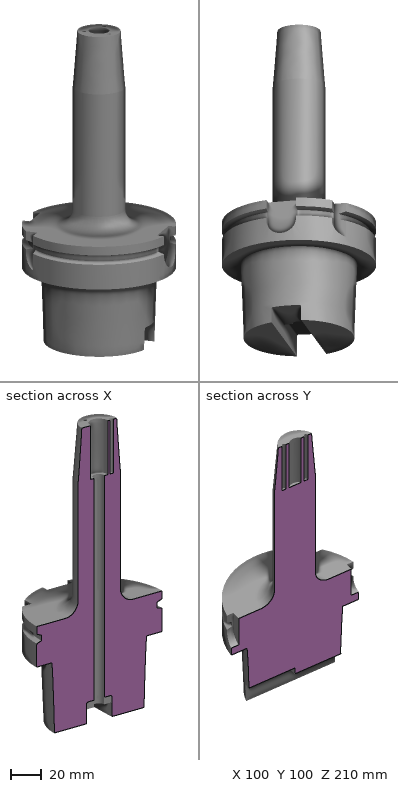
import cadquery as cq
import math

total_height = 210.0
shank_height = 50.0
flange_thickness = 29.0
tip_height = 38.0
flange_bottom = shank_height
flange_top = flange_bottom + flange_thickness

shank_bottom_radius = 36.0
shank_top_radius = 37.8
flange_radius = 50.0
neck_radius = 17.0
neck_fillet = 10.0
tip_radius = 14.0

groove_radius = 46.2
groove_bevel = 1.3
groove_start = 5.9
groove_end = 12.2

bore_radius = 6.7
bore_depth = tip_height
passage_radius = 4.1
coolant_hole_radius = 1.3
coolant_hole_depth = tip_height
coolant_circle_radius = 9.9
coolant_hole_count = 3

slot_depth = 23.7
slot_floor_x = 43.9
left_slot_half_width = 9.9
right_slot_half_width = 11.1
corner_slot_radius = 9.9
corner_slot_edge = 31.3

drive_half_width = 9.9
drive_depth = 10.0
deep_drive_depth = 15.1
drive_corner_radius = 1.0


def turned_body():
    """Revolve the shank, grooved flange, neck and tapered tip."""
    diagonal = neck_fillet * (1 - math.sqrt(0.5))
    return (
        cq.Workplane("XZ")
        .lineTo(shank_bottom_radius, 0)
        .lineTo(shank_top_radius, flange_bottom)
        .lineTo(flange_radius, flange_bottom)
        .lineTo(flange_radius, flange_top - groove_end)
        .lineTo(groove_radius, flange_top - groove_end + groove_bevel)
        .lineTo(groove_radius, flange_top - groove_start - groove_bevel)
        .lineTo(flange_radius, flange_top - groove_start)
        .lineTo(flange_radius, flange_top)
        .lineTo(neck_radius + neck_fillet, flange_top)
        .threePointArc(
            (neck_radius + diagonal, flange_top + diagonal),
            (neck_radius, flange_top + neck_fillet),
        )
        .lineTo(neck_radius, total_height - tip_height)
        .lineTo(tip_radius, total_height)
        .lineTo(0, total_height)
        .close()
        .revolve(360, (0, 0, 0), (0, 1, 0))
    )


def flange_slot(floor_x, center_y, radius):
    """Slot cutter running outward along X from floor_x, open at the flange top."""
    arc_center_z = flange_top - slot_depth + radius
    outward = math.copysign(flange_radius, floor_x)
    return (
        cq.Workplane("YZ", origin=(floor_x, center_y, 0))
        .moveTo(-radius, flange_top)
        .lineTo(-radius, arc_center_z)
        .threePointArc((0, arc_center_z - radius), (radius, arc_center_z))
        .lineTo(radius, flange_top)
        .close()
        .extrude(outward)
    )


def drive_slot(side, depth):
    """Drive slot cutter from the axis outward; side is -1 or 1 along X."""
    return (
        cq.Workplane("XY")
        .box(flange_radius, 2 * drive_half_width, depth, centered=(True, True, False))
        .edges("|X and >Z")
        .fillet(drive_corner_radius)
        .translate((side * flange_radius / 2, 0, 0))
    )


def tip_holes():
    """Tool bore, through passage and coolant holes."""
    passage = cq.Workplane("XY").circle(passage_radius).extrude(total_height)
    bore = (
        cq.Workplane("XY", origin=(0, 0, total_height))
        .circle(bore_radius)
        .extrude(-bore_depth)
    )
    coolant = (
        cq.Workplane("XY", origin=(0, 0, total_height))
        .polarArray(coolant_circle_radius, 90, 360, coolant_hole_count)
        .circle(coolant_hole_radius)
        .extrude(-coolant_hole_depth)
    )
    return passage.union(bore).union(coolant)


corner_slot_center_y = -(corner_slot_edge + corner_slot_radius)

result = (
    turned_body()
    .cut(flange_slot(-slot_floor_x, 0, left_slot_half_width))
    .cut(flange_slot(slot_floor_x, 0, right_slot_half_width))
    .cut(flange_slot(-corner_slot_edge, corner_slot_center_y, corner_slot_radius))
    .cut(drive_slot(-1, drive_depth))
    .cut(drive_slot(1, deep_drive_depth))
    .cut(tip_holes())
)